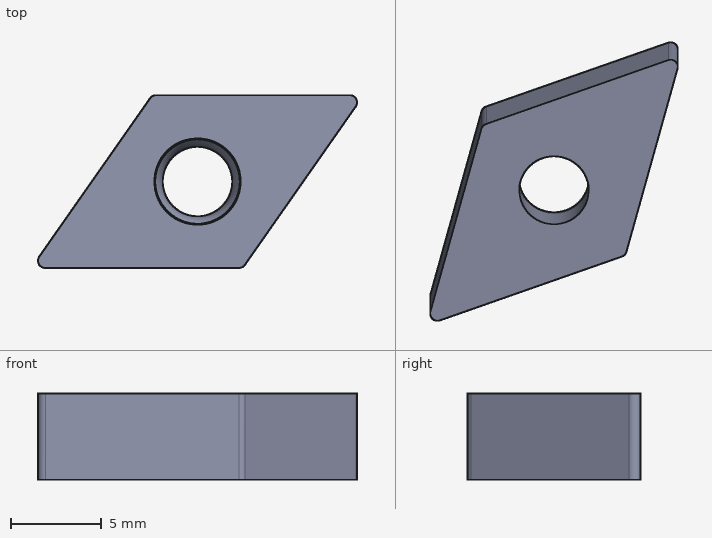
import cadquery as cq
import math

length = 17.55
inscribed_circle = 9.51
thickness = 4.75
acute_angle = math.radians(55)
nose_radius = 0.4

hole_diameter = 3.8
mouth_diameter = 4.75
seat_diameter = 4.63
lip_depth = 0.35
seat_radius = 2.55

nose_shortening = nose_radius / math.tan(acute_angle / 2) - nose_radius
half_length = length / 2 + nose_shortening
half_width = inscribed_circle / 2
slant_run = inscribed_circle / math.tan(acute_angle)


def make_body():
    corners = [
        (-half_length, -half_width),
        (half_length - slant_run, -half_width),
        (half_length, half_width),
        (slant_run - half_length, half_width),
    ]
    body = cq.Workplane("XY").polyline(corners).close().extrude(thickness)
    return body.edges("|Z").fillet(nose_radius)


def make_hole():
    """Revolve a bore that flares through a convex arc into a slightly tapered lip."""
    bore = hole_diameter / 2
    mouth = mouth_diameter / 2
    seat = seat_diameter / 2
    seat_top = thickness - lip_depth
    flare = seat - bore
    seat_height = math.sqrt(seat_radius**2 - (seat_radius - flare) ** 2)
    half_angle = math.asin(seat_height / seat_radius) / 2
    arc_mid = (
        bore + seat_radius * (1 - math.cos(half_angle)),
        seat_top - seat_height + seat_radius * math.sin(half_angle),
    )
    return (
        cq.Workplane("XZ")
        .lineTo(bore, 0)
        .lineTo(bore, seat_top - seat_height)
        .threePointArc(arc_mid, (seat, seat_top))
        .lineTo(mouth, thickness)
        .lineTo(0, thickness)
        .close()
        .revolve(360, (0, 0, 0), (0, 1, 0))
    )


result = make_body().cut(make_hole())